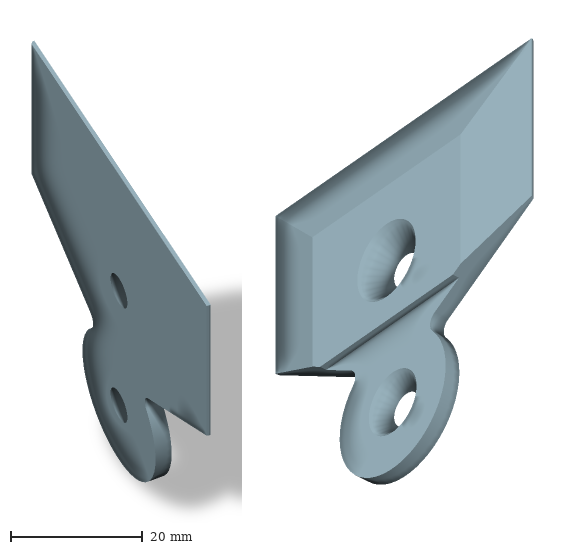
import cadquery as cq
import math

blade_width = 60.0
total_height = 65.1
blade_thickness = 4.0

tab_radius = 12.45
tab_thickness = 2.75
step_height = 14.7
waist_radius = 2.0

shoulder_height = 23.05
shoulder_angle = math.radians(30)

bevel_angle = math.radians(15)
edge_depth = 0.6
front_chamfer_width = 0.2
front_chamfer_depth = 0.3

hole_diameter = 5.7
hole_spacing = 26.05
hole_half_angle = math.radians(45)

half_width = blade_width / 2
blade_top = total_height - tab_radius
back_bevel_run = (blade_thickness - edge_depth) / math.tan(bevel_angle)


def make_outline():
    """Full-thickness plate: blade, waist arcs and round tab."""
    sin_a = math.sin(shoulder_angle)
    cos_a = math.cos(shoulder_angle)
    line_distance = half_width * sin_a - shoulder_height * cos_a + waist_radius
    centre_distance = tab_radius + waist_radius
    along_line = math.sqrt(centre_distance**2 - line_distance**2)
    centre_x = line_distance * sin_a + along_line * cos_a
    centre_z = -line_distance * cos_a + along_line * sin_a

    line_x = centre_x - waist_radius * sin_a
    line_z = centre_z + waist_radius * cos_a
    tab_x = centre_x * tab_radius / centre_distance
    tab_z = centre_z * tab_radius / centre_distance

    middle_x = (line_x + tab_x) / 2 - centre_x
    middle_z = (line_z + tab_z) / 2 - centre_z
    stretch = waist_radius / math.hypot(middle_x, middle_z)
    waist_x = centre_x + middle_x * stretch
    waist_z = centre_z + middle_z * stretch

    return (
        cq.Workplane("XZ")
        .moveTo(-half_width, blade_top)
        .lineTo(half_width, blade_top)
        .lineTo(half_width, shoulder_height)
        .lineTo(line_x, line_z)
        .threePointArc((waist_x, waist_z), (tab_x, tab_z))
        .threePointArc((0, -tab_radius), (-tab_x, tab_z))
        .threePointArc((-waist_x, waist_z), (-line_x, line_z))
        .lineTo(-half_width, shoulder_height)
        .close()
        .extrude(-blade_thickness)
    )


def make_side_bevels():
    """Envelope that bevels both vertical blade edges."""
    right_side = [
        (half_width - front_chamfer_width, 0),
        (half_width, front_chamfer_depth),
        (half_width, edge_depth),
        (half_width - back_bevel_run, blade_thickness),
    ]
    left_side = [(-x, y) for x, y in reversed(right_side)]
    return (
        cq.Workplane("XY", origin=(0, 0, -tab_radius))
        .polyline(right_side + left_side)
        .close()
        .extrude(total_height)
    )


def make_top_bevel_and_step():
    """Envelope that bevels the top edge and thins the tab from behind."""
    section = [
        (0, -tab_radius),
        (tab_thickness, -tab_radius),
        (tab_thickness, step_height),
        (blade_thickness, step_height),
        (blade_thickness, blade_top - back_bevel_run),
        (edge_depth, blade_top),
        (front_chamfer_depth, blade_top),
        (0, blade_top - front_chamfer_width),
    ]
    return cq.Workplane("YZ").polyline(section).close().extrude(half_width, both=True)


def make_holes():
    """Through holes at the tab centre and in the blade, widening to the back."""
    front_radius = hole_diameter / 2
    back_radius = front_radius + blade_thickness * math.tan(hole_half_angle)
    cones = cq.Workplane("XZ")
    for height in (0, hole_spacing):
        cone = cq.Solid.makeCone(
            front_radius,
            back_radius,
            blade_thickness,
            pnt=cq.Vector(0, 0, height),
            dir=cq.Vector(0, 1, 0),
        )
        cones = cones.add(cone)
    return cones.combine()


result = (
    make_outline()
    .intersect(make_side_bevels())
    .intersect(make_top_bevel_and_step())
    .cut(make_holes())
)